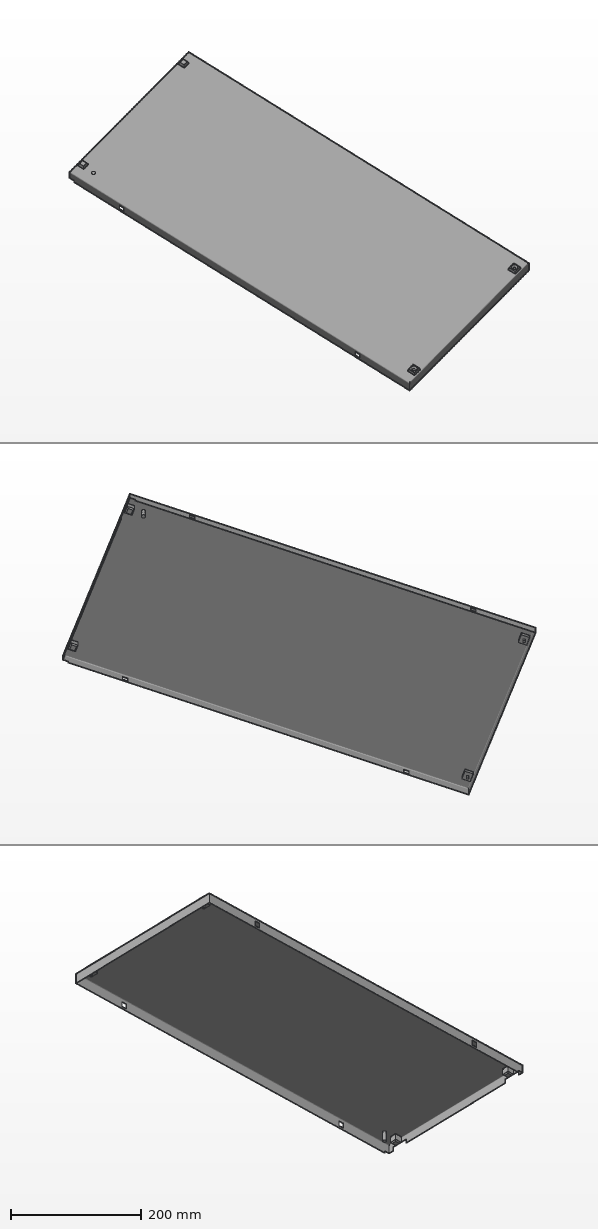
import cadquery as cq
import math

length = 665.0
width = 298.0
overall_height = 23.0
cap_height = 4.0
bottom_z = -overall_height / 2
cap_top_z = overall_height / 2
panel_top_z = cap_top_z - cap_height
sheet = 1.0
side_bend_radius = 2.5
end_bend_radius = 2.0

short_flange_z = -8.0
short_flange_length = 9.0
notch_top_z = -1.0
notch_width = 29.0

flange_hole_size = 8.5
flange_hole_x = 230.0
flange_hole_z = -3.0

mount_y = 125.0
plug_x = -324.0
plug_size = 12.0
plug_draft_angle = 25.0
plug_shoulder_z = -3.0
plug_tip_z = -5.0
plug_tip_angle = 45.0
latch_x = 322.0
latch_size = 14.0
latch_draft_angle = 15.0
latch_bottom_z = 0.0

recess_diameter = 9.0
screw_diameter = 4.0
screw_bottom_z = -5.0
recess_depth = (recess_diameter - screw_diameter) / 2

stud_x = -302.0
stud_y = -127.0
stud_diameter = 6.0
stud_bottom_z = -10.5

panel_underside_z = panel_top_z - sheet


def block(x_min, x_max, y_min, y_max, z_min, z_max):
    """Box given by its limits along each axis."""
    size = (x_max - x_min, y_max - y_min, z_max - z_min)
    return cq.Workplane("XY").box(*size, centered=False).translate((x_min, y_min, z_min))


def square_block(x, y, size, z_min, z_max):
    """Upright square block centred on x, y."""
    half = size / 2
    return block(x - half, x + half, y - half, y + half, z_min, z_max)


def tapered_block(x, y, size, z_base, z_end, angle):
    """Square frustum that narrows from z_base to z_end, above or below it."""
    end_size = size - 2 * abs(z_end - z_base) * math.tan(math.radians(angle))
    return (
        cq.Workplane("XY", origin=(x, y, z_base))
        .rect(size, size)
        .workplane(offset=z_end - z_base)
        .rect(end_size, end_size)
        .loft(combine=True)
    )


def make_panel():
    blank = block(-length / 2, length / 2, -width / 2, width / 2, bottom_z, panel_top_z)
    side_bends = blank.edges(">Z and |X").fillet(side_bend_radius)
    end_bends = blank.edges(">Z and |Y").fillet(end_bend_radius)
    panel = side_bends.intersect(end_bends).faces("<Z").shell(-sheet)

    corner_x = -length / 2 + short_flange_length
    panel = panel.cut(block(-length / 2, corner_x, -width / 2, width / 2, bottom_z, short_flange_z))

    opening_bottom_z = panel_top_z - 2 * side_bend_radius
    for side in (-1, 1):
        notch = block(
            -length / 2,
            -length / 2 + end_bend_radius,
            -notch_width / 2,
            notch_width / 2,
            short_flange_z,
            notch_top_z,
        )
        panel = panel.cut(notch.translate((0, side * mount_y, 0)))

        for x, size in ((plug_x, plug_size), (latch_x, latch_size)):
            panel = panel.cut(square_block(x, side * mount_y, size, opening_bottom_z, panel_top_z))

        hole = cq.Workplane("XY").box(flange_hole_size, width, flange_hole_size)
        panel = panel.cut(hole.translate((side * flange_hole_x, 0, flange_hole_z)))
    return panel


def make_capped_block(x, y, size, bottom, cap_draft_angle):
    """Square body that fills its opening, with a drafted cap standing on the panel."""
    body = square_block(x, y, size, bottom, panel_top_z)
    return body.union(tapered_block(x, y, size, panel_top_z, cap_top_z, cap_draft_angle))


def make_plug(y):
    plug = make_capped_block(plug_x, y, plug_size, plug_shoulder_z, plug_draft_angle)
    return plug.union(tapered_block(plug_x, y, plug_size, plug_shoulder_z, plug_tip_z, plug_tip_angle))


def make_latch(y):
    latch = make_capped_block(latch_x, y, latch_size, latch_bottom_z, latch_draft_angle)
    cap_top = cq.Workplane("XY", origin=(latch_x, y, cap_top_z))
    recess = (
        cap_top.circle(recess_diameter / 2)
        .workplane(offset=-recess_depth)
        .circle(screw_diameter / 2)
        .loft(combine=True)
    )
    screw_hole = cap_top.circle(screw_diameter / 2).extrude(latch_bottom_z - cap_top_z)
    return latch.cut(recess).cut(screw_hole)


def make_screw(y):
    screw_top_z = cap_top_z - recess_depth
    return (
        cq.Workplane("XY", origin=(latch_x, y, screw_bottom_z))
        .circle(screw_diameter / 2)
        .extrude(screw_top_z - screw_bottom_z)
    )


def make_stud():
    return (
        cq.Workplane("XY", origin=(stud_x, stud_y, stud_bottom_z))
        .circle(stud_diameter / 2)
        .extrude(panel_underside_z - stud_bottom_z)
    )


panel = make_panel()
stud = make_stud()
mount_positions = (-mount_y, mount_y)
plugs = [make_plug(y).solids().val() for y in mount_positions]
latches = [make_latch(y).solids().val() for y in mount_positions]
screws = [make_screw(y).solids().val() for y in mount_positions]

result = cq.Compound.makeCompound([panel.solids().val(), stud.val(), *plugs, *latches, *screws])